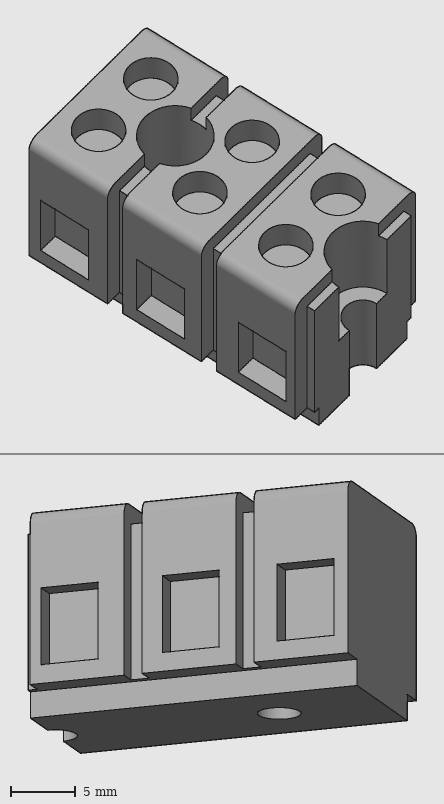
import cadquery as cq

length = 27.0
depth = 15.0
height = 16.1

foot_depth = 11.0
foot_height = 2.1
core_depth = 12.05
core_top = 14.6

block_count = 3
gap = 1.48
pitch = (length + gap / 2) / block_count
block_width = pitch - gap
edge_radius = 1.0

well_diameter = 4.2
well_depth = 2.5
well_spacing = 6.5
well_centers_x = (3.5, 13.5, 21.98)

pocket_width = 4.7
pocket_height = 6.15
pocket_depth = 1.8
pocket_bottom = 3.62
pocket_starts_x = (1.15, 10.65, 20.65)

mount_hole_diameter = 3.4
mount_bore_diameter = 6.0
mount_bore_depth = 8.1
mount_centers_x = (block_width + gap / 2, length)


def box(x_start, size_x, size_y, z_start, z_end):
    """Box centred on Y = 0."""
    solid = cq.Workplane("XY").box(size_x, size_y, z_end - z_start, centered=(False, True, False))
    return solid.translate((x_start, 0, z_start))


def terminal_block(index):
    """Upper block with rounded front and back top edges."""
    block = box(index * pitch, block_width, depth, foot_height, height)
    return block.faces(">Z").edges("|X").fillet(edge_radius)


def cylinder_down(x, y, z_top, diameter, drop):
    """Vertical cutter that hangs down from z_top."""
    return cq.Workplane("XY", origin=(x, y, z_top)).circle(diameter / 2).extrude(-drop)


def mounting_hole(x):
    """Counterbored through hole."""
    hole = cylinder_down(x, 0, height, mount_hole_diameter, height)
    return hole.union(cylinder_down(x, 0, height, mount_bore_diameter, mount_bore_depth))


result = box(0, length, foot_depth, 0, foot_height)
result = result.union(box(0, length, core_depth, foot_height, core_top))
for block_index in range(block_count):
    result = result.union(terminal_block(block_index))

for well_x in well_centers_x:
    for side in (-1, 1):
        well_y = side * well_spacing / 2
        result = result.cut(cylinder_down(well_x, well_y, height, well_diameter, well_depth))

for pocket_x in pocket_starts_x:
    pocket = box(pocket_x, pocket_width, 2 * pocket_depth, pocket_bottom, pocket_bottom + pocket_height)
    for side in (-1, 1):
        result = result.cut(pocket.translate((0, side * depth / 2, 0)))

for mount_x in mount_centers_x:
    result = result.cut(mounting_hole(mount_x))